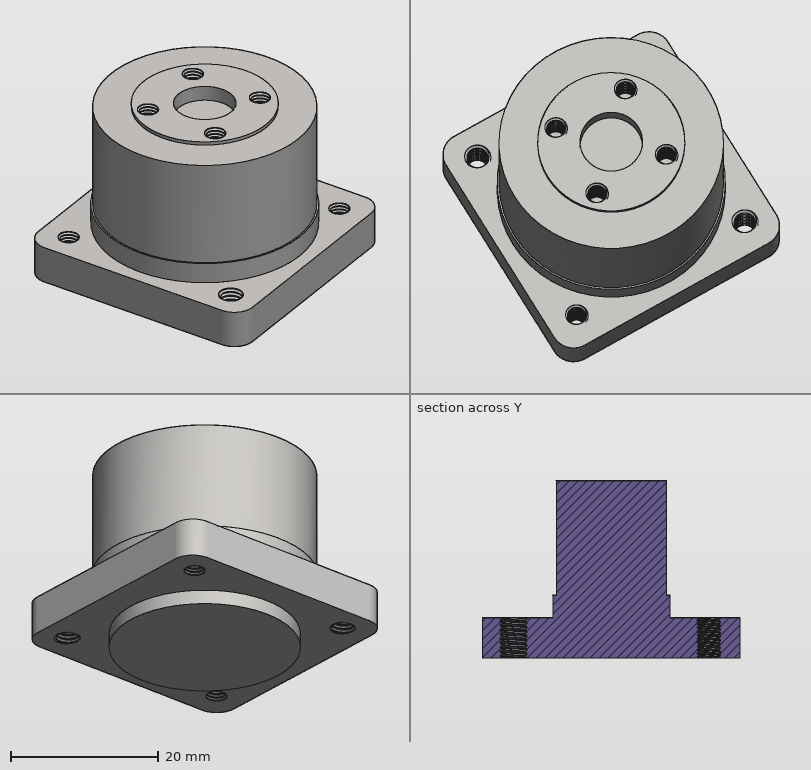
import cadquery as cq
import math

flange_side = 35.0
flange_thickness = 5.5
flange_corner_radius = 3.0

pilot_diameter = 26.0
pilot_height = 2.05
collar_diameter = 31.0
collar_height = 3.05
body_diameter = 30.5
body_height = 15.55
output_face_diameter = 20.0
output_face_height = 0.5

bore_diameter = 8.5
bore_depth = 2.2

small_minor_diameter = 2.53
small_major_diameter = 3.09
small_pitch = 0.5
large_minor_diameter = 2.93
large_major_diameter = 3.6
large_pitch = 0.6
output_bolt_circle = 15.5
output_thread_depth = 5.0
flange_bolt_circle = 37.5

thread_flank_half_angle = 30.0
groove_width_in_pitches = 7 / 8
core_overlap = 0.03
groove_start_angle = 270.0
lead_in_turns = 2

flange_bottom = pilot_height
flange_top = flange_bottom + flange_thickness
collar_top = flange_top + collar_height
body_top = collar_top + body_height
output_face_top = body_top + output_face_height


def disc(diameter, bottom, height):
    return cq.Workplane("XY").workplane(offset=bottom).circle(diameter / 2).extrude(height)


def make_flange():
    plate = cq.Workplane("XY").workplane(offset=flange_bottom)
    plate = plate.rect(flange_side, flange_side).extrude(flange_thickness)
    return plate.edges("|Z").fillet(flange_corner_radius)


def make_housing():
    housing = make_flange()
    housing = housing.union(disc(pilot_diameter, 0, pilot_height))
    housing = housing.union(disc(collar_diameter, flange_top, collar_height))
    housing = housing.union(disc(body_diameter, collar_top, body_height))
    housing = housing.union(disc(output_face_diameter, body_top, output_face_height))
    return housing.cut(disc(bore_diameter, output_face_top - bore_depth, bore_depth))


def make_groove(minor_diameter, major_diameter, pitch, turns):
    """Right-hand helical ridge with a trapezoidal section, starting at Z = 0 in the +X direction."""
    minor_radius = minor_diameter / 2
    major_radius = major_diameter / 2
    base_radius = minor_radius - core_overlap
    flank_slope = math.tan(math.radians(thread_flank_half_angle))
    half_mouth = groove_width_in_pitches * pitch / 2
    half_root = half_mouth - (major_radius - minor_radius) * flank_slope
    half_base = half_mouth + core_overlap * flank_slope

    section_corners = [
        (base_radius, -half_base),
        (major_radius, -half_root),
        (major_radius, half_root),
        (base_radius, half_base),
    ]
    edges = [
        cq.Wire.makeHelix(pitch, turns * pitch, radius).translate(cq.Vector(0, 0, height))
        for radius, height in section_corners
    ]
    faces = [
        cq.Face.makeRuledSurface(edge, edges[(index + 1) % len(edges)])
        for index, edge in enumerate(edges)
    ]
    for end_points in ([edge.startPoint() for edge in edges], [edge.endPoint() for edge in edges]):
        faces.append(cq.Face.makeFromWires(cq.Wire.makePolygon(end_points, close=True)))
    return cq.Workplane(obj=cq.Solid.makeSolid(cq.Shell.makeShell(faces)))


def make_thread_tool(minor_diameter, major_diameter, pitch, depth):
    """Solid filling a threaded hole that enters at Z = 0 and runs down to -depth."""
    turns = math.ceil(depth / pitch) + 2 * lead_in_turns
    groove = make_groove(minor_diameter, major_diameter, pitch, turns)
    groove = groove.rotate((0, 0, 0), (0, 0, 1), groove_start_angle)
    groove = groove.translate((0, 0, (lead_in_turns - turns) * pitch))

    envelope = disc(2 * major_diameter, -depth, depth)
    return disc(minor_diameter, -depth, depth).union(envelope.intersect(groove))


def bolt_positions(bolt_circle, angles, height):
    radius = bolt_circle / 2
    return [
        (radius * math.cos(math.radians(angle)), radius * math.sin(math.radians(angle)), height)
        for angle in angles
    ]


def cut_threads(part, tool, positions):
    for position in positions:
        part = part.cut(tool.translate(position))
    return part


output_tool = make_thread_tool(
    small_minor_diameter, small_major_diameter, small_pitch, output_thread_depth)
small_flange_tool = make_thread_tool(
    small_minor_diameter, small_major_diameter, small_pitch, flange_thickness)
large_flange_tool = make_thread_tool(
    large_minor_diameter, large_major_diameter, large_pitch, flange_thickness)

result = make_housing()
result = cut_threads(
    result, output_tool, bolt_positions(output_bolt_circle, (45, 135, 225, 315), output_face_top))
result = cut_threads(
    result, small_flange_tool, bolt_positions(flange_bolt_circle, (45, 225), flange_top))
result = cut_threads(
    result, large_flange_tool, bolt_positions(flange_bolt_circle, (135, 315), flange_top))